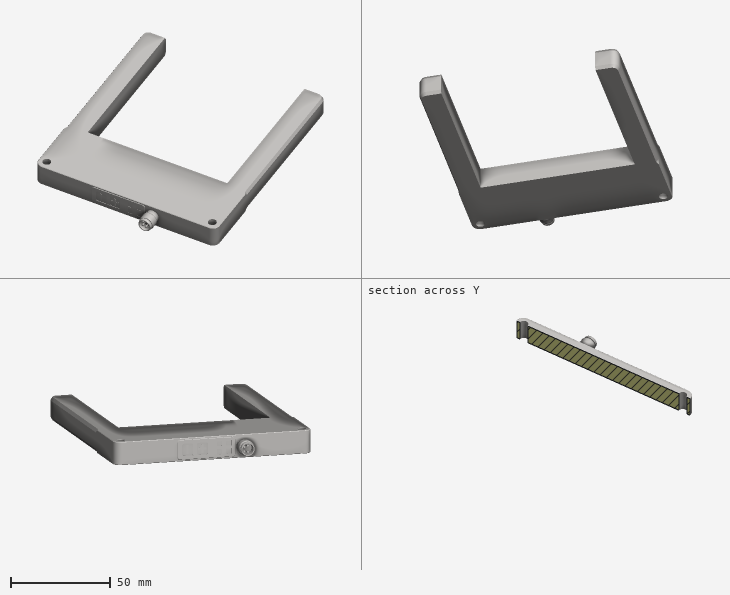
import cadquery as cq
import math

total_length = 124.5
width = 104.0
thickness = 12.0
connector_length = 8.5
arm_width = 12.0
arm_length = 82.2
corner_radius = 4.0

base_bevel_height = 0.2
base_bevel_inset = 0.2
arm_bevel_height = 1.7
arm_bevel_inset = 1.0
bevel_runout_gap = 1.0
bevel_runout_length = 2.4

embed_depth = 1.2

mount_hole_diameter = 4.5
mount_hole_inset = 4.5

body_length = total_length - connector_length
base_length = body_length - arm_length
slot_width = width - 2 * arm_width
half_thickness = thickness / 2

panel_x = -3.9
panel_width = 30.5
panel_height = 10.2
panel_radius = 1.5
panel_rise = 0.2
panel_bevel = 0.19
relief_depth = 0.1

key_height = 6.2
key_width = 5.9
key_pitch = 7.8
key_radius = 1.0
keys_x = -9.8
sign_length = 4.5
sign_stroke = 1.0

lamp_size = 2.7
lamp_radius = 0.7
lamp_columns = ((3.0, True), (7.8, False))
lamp_row_pitch = 4.2

connector_x = 15.6
neck_diameter = 7.2
collar_diameter = 8.0
groove_diameter = 6.3
tip_diameter = 6.8
collar_start = 2.2
collar_end = 6.6
collar_bevel = 0.7
groove_width = 0.4
tip_bevel = 0.7

socket_diameter = 5.9
socket_depth = 3.7
pin_diameter = 1.0
pin_length = 2.7
pin_positions = ((-1.6, 1.1), (-1.6, -1.1), (0.2, 1.6), (0.2, -1.6))

notch_floor_diameter = 6.6
notch_start = 0.2
notch_length = 1.5
notch_width = 1.5
notch_angle = 45.0


def bevelled_plate(bevel_height, bevel_inset):
    """Full rounded rectangle with its top and bottom outer edges bevelled."""
    straight_half = half_thickness - bevel_height
    taper = math.degrees(math.atan2(bevel_inset, bevel_height))

    def outline(z):
        block = cq.Sketch().rect(width, body_length).vertices().fillet(corner_radius)
        return cq.Workplane("XY", origin=(0, body_length / 2, z)).placeSketch(block)

    middle = outline(-straight_half).extrude(2 * straight_half)
    upper = outline(straight_half).extrude(bevel_height, taper=taper)
    return middle.union(upper).union(upper.mirror("XY"))


def corner_runout(side, face):
    """Tetrahedron that tapers the arm bevel to nothing along one long edge.

    side is -1 or 1 for the X side, face is -1 or 1 for the bottom or top.
    """
    deep_y = base_length - bevel_runout_gap
    edge_x = side * width / 2
    edge_z = face * half_thickness
    corner = (edge_x, deep_y, edge_z)
    inner = (edge_x - side * arm_bevel_inset, deep_y, edge_z)
    lower = (edge_x, deep_y, edge_z - face * arm_bevel_height)
    tip = (edge_x, deep_y - bevel_runout_length, edge_z)
    triangles = (
        (corner, inner, lower),
        (corner, tip, inner),
        (corner, lower, tip),
        (inner, tip, lower),
    )
    walls = [
        cq.Face.makeFromWires(cq.Wire.makePolygon([cq.Vector(*p) for p in triangle], close=True))
        for triangle in triangles
    ]
    return cq.Workplane(cq.Solid.makeSolid(cq.Shell.makeShell(walls)))


def make_base():
    """Lightly bevelled rear part, ending where the full arm bevel begins."""
    reach = cq.Workplane("XY").box(
        width, base_length - bevel_runout_gap, thickness, centered=(True, False, True)
    )
    base = bevelled_plate(base_bevel_height, base_bevel_inset).intersect(reach)
    for side in (-1, 1):
        for face in (-1, 1):
            base = base.cut(corner_runout(side, face))
    return base


def make_housing():
    arms = bevelled_plate(arm_bevel_height, arm_bevel_inset)
    slot = cq.Workplane("XY").box(
        slot_width, arm_length, thickness, centered=(True, False, True)
    ).translate((0, base_length, 0))
    hole_x = width / 2 - mount_hole_inset
    holes = (
        cq.Workplane("XY", origin=(0, mount_hole_inset, 0))
        .pushPoints([(-hole_x, 0), (hole_x, 0)])
        .circle(mount_hole_diameter / 2)
        .extrude(half_thickness, both=True)
    )
    return arms.union(make_base()).cut(slot).cut(holes)


def rear_block(x, z, size_x, size_z, y_outer, depth):
    """Block facing -Y whose outer face lies at y_outer."""
    return (
        cq.Workplane("XZ", origin=(x, y_outer, z))
        .rect(size_x, size_z)
        .extrude(-depth)
    )


def make_panel():
    """Raised panel with two keys in a sunken frame, raised signs and four sunken lamps."""
    face_y = -panel_rise
    panel = rear_block(panel_x, 0, panel_width, panel_height, face_y, panel_rise + embed_depth)
    panel = panel.edges("|Y").fillet(panel_radius).faces("<Y").chamfer(panel_bevel)

    minus_x = keys_x - key_pitch / 2
    plus_x = keys_x + key_pitch / 2
    key_depth = 2 * relief_depth
    sign_y = face_y + relief_depth
    frame = rear_block(keys_x, 0, key_pitch + key_width, key_height, face_y, relief_depth)
    panel = panel.cut(frame.edges("|Y").fillet(key_radius))
    for x in (minus_x, plus_x):
        key = rear_block(x, 0, key_width, key_height, face_y, key_depth)
        panel = panel.cut(key.edges("|Y").fillet(key_radius))
        panel = panel.union(rear_block(x, 0, sign_stroke, sign_length, sign_y, relief_depth))
    panel = panel.union(rear_block(plus_x, 0, sign_length, sign_stroke, sign_y, relief_depth))

    for x, rounded in lamp_columns:
        for z in (-lamp_row_pitch / 2, lamp_row_pitch / 2):
            lamp = rear_block(x, z, lamp_size, lamp_size, face_y, relief_depth)
            if rounded:
                lamp = lamp.edges("|Y and >X").fillet(lamp_radius)
            panel = panel.cut(lamp)
    return panel


def make_connector():
    """Turned connector along -Y with a socket, contact pins and a neck notch."""
    neck_r = neck_diameter / 2
    collar_r = collar_diameter / 2
    groove_r = groove_diameter / 2
    tip_r = tip_diameter / 2
    groove_end = collar_end + groove_width
    body = (
        cq.Workplane("XY")
        .polyline([
            (0, embed_depth),
            (neck_r, embed_depth),
            (neck_r, -collar_start),
            (collar_r, -collar_start - collar_bevel),
            (collar_r, -collar_end + collar_bevel),
            (neck_r, -collar_end),
            (groove_r, -collar_end),
            (groove_r, -groove_end),
            (neck_r, -groove_end),
            (neck_r, -connector_length + tip_bevel),
            (tip_r, -connector_length),
            (0, -connector_length),
        ])
        .close()
        .revolve(360, (0, 0), (0, 1))
    )
    socket = (
        cq.Workplane("XZ", origin=(0, -connector_length, 0))
        .circle(socket_diameter / 2)
        .extrude(-socket_depth)
    )
    pins = (
        cq.Workplane("XZ", origin=(0, -connector_length + socket_depth, 0))
        .pushPoints(pin_positions)
        .circle(pin_diameter / 2)
        .extrude(pin_length)
    )
    notch = (
        cq.Workplane("XY")
        .box(collar_diameter, notch_length, notch_width, centered=(False, False, True))
        .rotate((0, 0, 0), (0, 1, 0), 180 + notch_angle)
        .translate((0, -notch_start - notch_length, 0))
    )
    notch_floor = (
        cq.Workplane("XZ")
        .circle(notch_floor_diameter / 2)
        .extrude(collar_start)
    )
    return body.cut(notch.cut(notch_floor)).cut(socket).union(pins).translate((connector_x, 0, 0))


result = make_housing().union(make_panel()).union(make_connector()).solids()